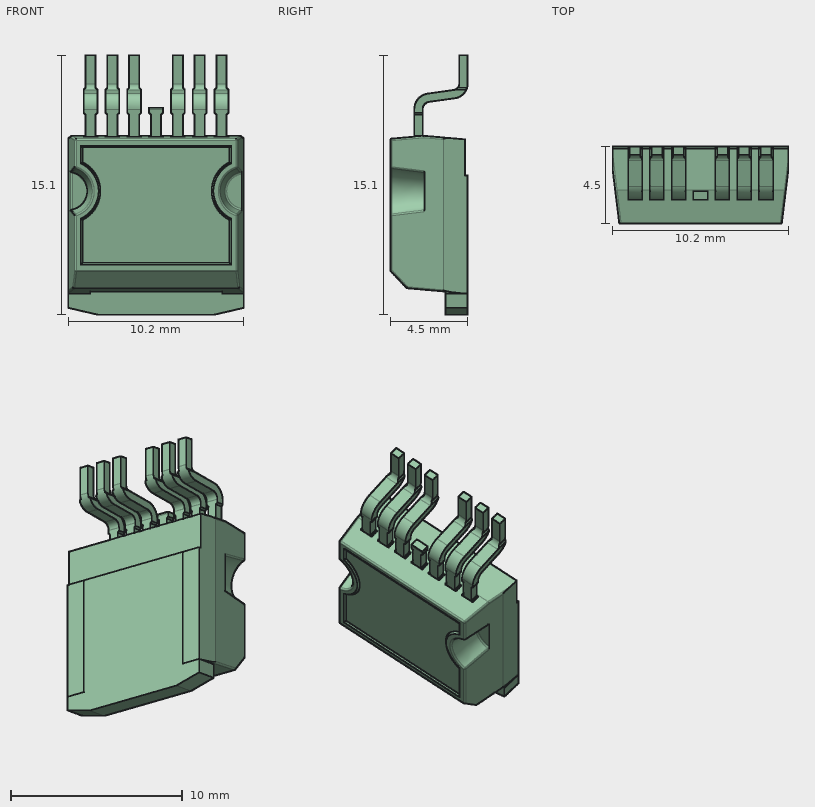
import cadquery as cq
import math


total_height = 15.11
total_width = 10.21
total_depth = 4.5
half_width = total_width / 2
draft_tangent = math.tan(math.radians(5))

ridge_y = -2.54
ridge_z = 10.43
back_recess = 0.15
back_step_z = 8.11
bottom_z = 1.24
bevel_start_y = -3.54
bevel_end_z = 2.57
side_draft_start_y = -1.44
front_half_width = 4.73
edge_radius = 0.1

notch_z = 7.2
notch_floor_y = -2.51
notch_floor_radius = 1.1
notch_front_radius = 1.4

panel_half_width = 4.37
panel_bottom_z = 2.92
panel_top_z = 9.85
panel_notch_radius = 1.77
panel_depth = 0.1
panel_taper = 45

tab_thickness = 1.3
tab_neck_half_width = 3.84
tab_corner_height = 0.41
tab_corner_half_width = 3.35

lead_pitch = 1.27
leads_per_side = 3
lead_thickness = 0.5
lead_width = 0.6
lead_wide_width = 0.82
lead_front_y = -3.11
lead_root_z = 9.07
wide_bottom_z = 11.75
wide_top_z = 13.1
width_step = (lead_wide_width - lead_width) / 2
lower_bend_z = 11.97
lower_bend_radius = 0.42
upper_bend_radius = 0.36
short_lead_top_z = 12.06
slope_angle = math.radians(8)


def upright_box(width, depth, bottom, top):
    """Box centred on the Z axis in X and Y."""
    return (
        cq.Workplane("XY", origin=(0, 0, bottom))
        .box(width, depth, top - bottom, centered=(True, True, False))
    )


def mirrored_outline(right_side):
    """Closed XZ outline from its right half, listed from bottom to top."""
    left_side = [(-x, z) for x, z in reversed(right_side)]
    return cq.Workplane("XZ").polyline(right_side + left_side).close()


def drafted_block():
    """Side profile crossed with a plan that narrows toward the front."""
    front_top_z = ridge_z - (ridge_y + total_depth) * draft_tangent
    back_top_z = ridge_z + ridge_y * draft_tangent
    profile = (
        cq.Workplane("YZ")
        .moveTo(0, bottom_z)
        .lineTo(bevel_start_y, bottom_z - bevel_start_y * draft_tangent)
        .lineTo(-total_depth, bevel_end_z)
        .lineTo(-total_depth, front_top_z)
        .lineTo(ridge_y, ridge_z)
        .lineTo(0, back_top_z)
        .close()
        .extrude(total_width, both=True)
    )
    side_slope = (half_width - front_half_width) / (total_depth + side_draft_start_y)
    back_half_width = front_half_width + total_depth * side_slope
    plan = (
        cq.Workplane("XY")
        .moveTo(-back_half_width, 0)
        .lineTo(back_half_width, 0)
        .lineTo(front_half_width, -total_depth)
        .lineTo(-front_half_width, -total_depth)
        .close()
        .extrude(total_height)
    )
    return profile.intersect(plan)


def notch_cone(side):
    """Cone that opens toward the front, centred on the side of the housing."""
    return cq.Workplane(cq.Solid.makeCone(
        notch_floor_radius, notch_front_radius, total_depth + notch_floor_y,
        cq.Vector(side * half_width, notch_floor_y, notch_z), cq.Vector(0, -1, 0)))


def round_edges(block):
    """Round the side rims and the top, bottom and notch rims of the front.

    The right notch keeps a sharp outer edge on its floor and is rounded where the floor meets
    the wall instead.
    """
    not_at_back = cq.selectors.StringSyntaxSelector("not >Y")
    right_floor_edge = cq.selectors.NearestToPointSelector((half_width, notch_floor_y, notch_z))
    right_floor_arc = cq.selectors.NearestToPointSelector(
        (half_width - notch_floor_radius, notch_floor_y, notch_z))

    left_rim = block.faces("<X").edges(not_at_back)
    right_rim = block.faces(">X").edges(not_at_back - right_floor_edge)
    front_rim = block.faces("<Y").edges("<Z or >Z or %CIRCLE")
    floor_corner = block.edges(right_floor_arc)
    return left_rim.add(right_rim).add(front_rim).add(floor_corner).fillet(edge_radius)


def panel_recess():
    """Shallow recess with sloped walls that passes around the side notches."""
    rise = math.sqrt(panel_notch_radius**2 - (half_width - panel_half_width)**2)
    waist_half_width = half_width - panel_notch_radius
    return (
        cq.Workplane("XZ", origin=(0, -total_depth, 0))
        .moveTo(-panel_half_width, panel_bottom_z)
        .lineTo(panel_half_width, panel_bottom_z)
        .lineTo(panel_half_width, notch_z - rise)
        .threePointArc((waist_half_width, notch_z), (panel_half_width, notch_z + rise))
        .lineTo(panel_half_width, panel_top_z)
        .lineTo(-panel_half_width, panel_top_z)
        .lineTo(-panel_half_width, notch_z + rise)
        .threePointArc((-waist_half_width, notch_z), (-panel_half_width, notch_z - rise))
        .close()
        .extrude(-panel_depth, taper=panel_taper)
    )


def make_moulding():
    """Housing without its leads."""
    block = drafted_block()
    for side in (-1, 1):
        block = block.cut(notch_cone(side))
    block = round_edges(block)
    block = block.intersect(upright_box(total_width, 2 * total_depth, 0, total_height))
    block = block.cut(upright_box(total_width, 2 * back_recess, back_step_z, total_height))
    return block.cut(panel_recess())


def bend_point(center, radius, angle):
    return (center[0] + radius * math.cos(angle), center[1] + radius * math.sin(angle))


def lead_strip():
    """Sheet with two bends, in the YZ plane."""
    lower_outer_radius = lower_bend_radius + lead_thickness
    upper_outer_radius = upper_bend_radius + lead_thickness
    lower_center = (lead_front_y + lower_outer_radius, lower_bend_z)

    centers_apart_y = -upper_outer_radius - lower_center[0]
    centers_across = lower_outer_radius + upper_bend_radius
    rise = (centers_across + centers_apart_y * math.sin(slope_angle)) / math.cos(slope_angle)
    upper_center = (-upper_outer_radius, lower_bend_z + rise)

    lower_end = slope_angle + math.pi / 2
    lower_middle = (lower_end + math.pi) / 2
    upper_start = lower_end - math.pi
    upper_middle = upper_start / 2
    return (
        cq.Workplane("YZ")
        .moveTo(lead_front_y, lead_root_z)
        .lineTo(lead_front_y, lower_bend_z)
        .threePointArc(bend_point(lower_center, lower_outer_radius, lower_middle),
                       bend_point(lower_center, lower_outer_radius, lower_end))
        .lineTo(*bend_point(upper_center, upper_bend_radius, upper_start))
        .threePointArc(bend_point(upper_center, upper_bend_radius, upper_middle),
                       bend_point(upper_center, upper_bend_radius, 0))
        .lineTo(-lead_thickness, total_height)
        .lineTo(0, total_height)
        .lineTo(*bend_point(upper_center, upper_outer_radius, 0))
        .threePointArc(bend_point(upper_center, upper_outer_radius, upper_middle),
                       bend_point(upper_center, upper_outer_radius, upper_start))
        .lineTo(*bend_point(lower_center, lower_bend_radius, lower_end))
        .threePointArc(bend_point(lower_center, lower_bend_radius, lower_middle),
                       bend_point(lower_center, lower_bend_radius, math.pi))
        .lineTo(lead_front_y + lead_thickness, lead_root_z)
        .close()
        .extrude(lead_wide_width, both=True)
    )


def make_lead(top_z):
    """Bent strip trimmed to the lead's outline: wide at the root and around the bends."""
    narrow = lead_width / 2
    wide = lead_wide_width / 2
    outline = mirrored_outline([
        (wide, lead_root_z), (wide, ridge_z),
        (narrow, ridge_z), (narrow, wide_bottom_z - width_step),
        (wide, wide_bottom_z), (wide, wide_top_z),
        (narrow, wide_top_z + width_step), (narrow, total_height),
    ]).extrude(total_depth)
    lead = lead_strip().intersect(outline)
    return lead.intersect(upright_box(total_width, 2 * total_depth, 0, top_z))


def make_housing():
    """Moulding with its row of leads, as one solid."""
    housing = make_moulding()
    for position in range(-leads_per_side, leads_per_side + 1):
        top_z = short_lead_top_z if position == 0 else total_height
        housing = housing.union(make_lead(top_z).translate((position * lead_pitch, 0, 0)))
    return housing


def make_tab():
    """Plate with a narrower neck that is set into the back of the housing."""
    return mirrored_outline([
        (tab_corner_half_width, 0), (half_width, tab_corner_height),
        (half_width, bottom_z), (tab_neck_half_width, bottom_z),
        (tab_neck_half_width, back_step_z),
    ]).extrude(tab_thickness)


tab = make_tab()
housing = make_housing().cut(tab)

result = cq.Compound.makeCompound([housing.solids().val(), tab.val()])